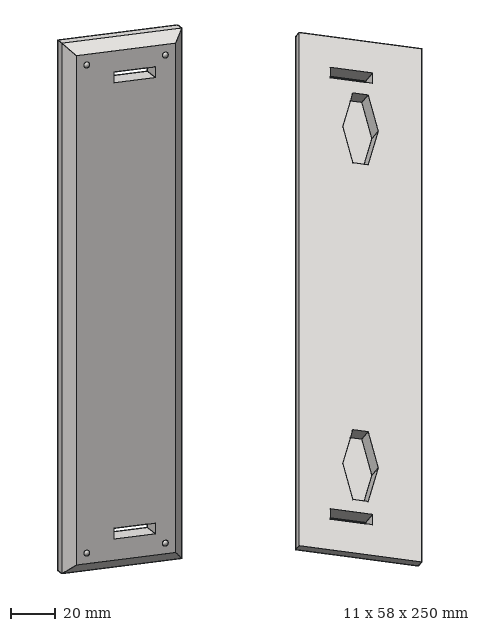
import cadquery as cq

plate_thickness = 10.0
plate_width = 58.0
plate_height = 250.0
bevel = 5.0

bump_height = 1.0
bump_sphere_radius = 1.5
bump_inset = 10.0

slot_width = 20.0
slot_height = 5.0
slot_offset = 4.2
slot_inset = 17.5

pocket_width = 16.8
pocket_height = 34.0
pocket_end_width = 7.2
pocket_depth = 9.0
pocket_inset = 43.0


def make_plate():
    plate = cq.Workplane("XY").box(
        plate_thickness, plate_width, plate_height, centered=(False, True, True)
    )
    return plate.faces(">X").chamfer(bevel)


def make_slots():
    slot_z = plate_height / 2 - slot_inset
    return (
        cq.Workplane("YZ")
        .pushPoints([(slot_offset, slot_z), (slot_offset, -slot_z)])
        .rect(slot_width, slot_height)
        .extrude(plate_thickness)
    )


def make_pocket(center_z):
    top = center_z + pocket_height / 2
    bottom = center_z - pocket_height / 2
    half_width = pocket_width / 2
    half_end = pocket_end_width / 2
    outline = [
        (half_end, top),
        (half_width, center_z),
        (half_end, bottom),
        (-half_end, bottom),
        (-half_width, center_z),
        (-half_end, top),
    ]
    return cq.Workplane("YZ").polyline(outline).close().extrude(pocket_depth)


def make_bumps():
    sphere_x = plate_thickness + bump_height - bump_sphere_radius
    return (
        cq.Workplane("YZ", origin=(sphere_x, 0, 0))
        .rect(plate_width - 2 * bump_inset, plate_height - 2 * bump_inset, forConstruction=True)
        .vertices()
        .sphere(bump_sphere_radius)
    )


result = make_plate().union(make_bumps()).cut(make_slots())
for side in (1, -1):
    result = result.cut(make_pocket(side * (plate_height / 2 - pocket_inset)))